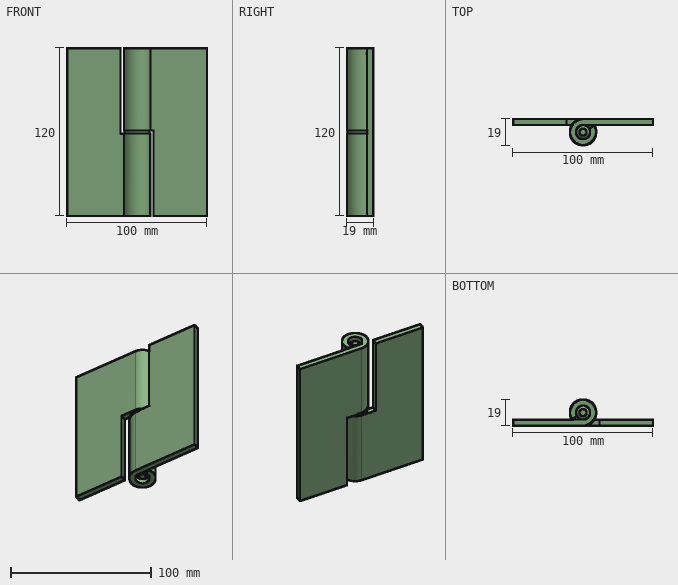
import cadquery as cq
import math

height = 120.0
width = 100.0
leaf_thickness = 4.5
knuckle_radius = 9.5
bore_radius = knuckle_radius - leaf_thickness
edge_clearance = 11.6
curl_end_angle = 31.0

washer_radius = 9.0
washer_thickness = 2.0
knuckle_length = (height - washer_thickness) / 2
upper_knuckle_base = height - knuckle_length

pin_recess = 1.8
pin_tip_radius = 2.5
pin_chamfer = bore_radius - pin_tip_radius


def polar(radius, degrees):
    """Point on a circle around the pin axis."""
    angle = math.radians(degrees)
    return (radius * math.cos(angle), radius * math.sin(angle))


def make_leaf():
    """Leaf extending to +X, with its knuckle rolled around the upper half of the pin."""
    middle_angle = (90 + 360 + curl_end_angle) / 2
    rolled_strip = (
        cq.Workplane("XY", origin=(0, 0, upper_knuckle_base))
        .moveTo(width / 2, knuckle_radius)
        .lineTo(0, knuckle_radius)
        .threePointArc(polar(knuckle_radius, middle_angle), polar(knuckle_radius, curl_end_angle))
        .lineTo(*polar(bore_radius, curl_end_angle))
        .threePointArc(polar(bore_radius, middle_angle), (0, bore_radius))
        .lineTo(width / 2, bore_radius)
        .close()
        .extrude(knuckle_length)
    )
    lower_plate = (
        cq.Workplane("XY")
        .box(width / 2 - edge_clearance, leaf_thickness, upper_knuckle_base, centered=False)
        .translate((edge_clearance, bore_radius, 0))
    )
    return rolled_strip.union(lower_plate)


def make_washer():
    """Plain ring separating the knuckles."""
    return (
        cq.Workplane("XY", origin=(0, 0, knuckle_length))
        .circle(washer_radius)
        .circle(bore_radius)
        .extrude(washer_thickness)
    )


def make_pin():
    """Pin filling both knuckle bores and the washer."""
    return (
        cq.Workplane("XY", origin=(0, 0, pin_recess))
        .circle(bore_radius)
        .extrude(height - 2 * pin_recess)
        .faces("<Z or >Z")
        .chamfer(pin_chamfer)
    )


leaf_turn_centre = (0, 0, height / 2)
leaf_turn_axis_end = (0, 1, height / 2)
right_leaf = make_leaf()
left_leaf = make_leaf().rotate(leaf_turn_centre, leaf_turn_axis_end, 180)
washer = make_washer()
pin = make_pin()

result = cq.Compound.makeCompound([right_leaf.val(), left_leaf.val(), washer.val(), pin.val()])